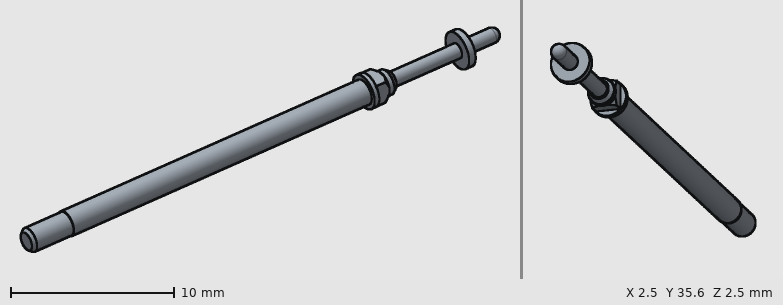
import cadquery as cq

PIN_LENGTH = 35.6
PLATE_START = 2.6
PLATE_THICKNESS = 0.5
SLEEVE_START = 8.1
SQUARE_START = 8.8
COLLAR_START = 9.8
COLLAR_THICKNESS = 0.35
TAIL_START = 32.6

PLUNGER_DIAMETER = 1.0
PLATE_DIAMETER = 2.5
SLEEVE_DIAMETER = 1.68
SQUARE_SIDE = 1.6
COLLAR_DIAMETER = 2.3
TAIL_DIAMETER = 1.6
SLEEVE_CHAMFER_LENGTH = 0.33
SLEEVE_CHAMFER_DEPTH = 0.23
TAIL_CHAMFER_LENGTH = 0.25
TAIL_CHAMFER_DEPTH = 0.2

TIP_Y = PIN_LENGTH / 2


def section_plane(start):
    """Plane across the pin at a distance behind the tip, facing the tail."""
    return cq.Workplane("XZ", origin=(0, TIP_Y - start, 0))


def cylinder(start, end, diameter):
    """Round length of the pin between two stations."""
    return section_plane(start).circle(diameter / 2).extrude(end - start)


def cone(start, end, start_diameter, end_diameter):
    """Truncated cone between two stations along the pin."""
    length = end - start
    start_circle = section_plane(start).circle(start_diameter / 2)
    return start_circle.workplane(offset=length).circle(end_diameter / 2).loft(ruled=True)


def plunger():
    """Thin rod with a hemispherical tip."""
    radius = PLUNGER_DIAMETER / 2
    tip = cq.Workplane("XY").sphere(radius).translate((0, TIP_Y - radius, 0))
    return cylinder(radius, SLEEVE_START, PLUNGER_DIAMETER).union(tip)


def plate():
    """Round contact plate on the plunger."""
    return cylinder(PLATE_START, PLATE_START + PLATE_THICKNESS, PLATE_DIAMETER)


def sleeve_mouth():
    """Front of the sleeve, chamfered around the plunger."""
    chamfer_end = SLEEVE_START + SLEEVE_CHAMFER_LENGTH
    mouth_diameter = SLEEVE_DIAMETER - 2 * SLEEVE_CHAMFER_DEPTH
    mouth = cone(SLEEVE_START, chamfer_end, mouth_diameter, SLEEVE_DIAMETER)
    return mouth.union(cylinder(chamfer_end, SQUARE_START, SLEEVE_DIAMETER))


def square_neck():
    """Square section in front of the collar, its front corners cut by a 45 degree cone."""
    length = COLLAR_START - SQUARE_START
    square = section_plane(SQUARE_START).rect(SQUARE_SIDE, SQUARE_SIDE).extrude(length)
    lead_in = cone(SQUARE_START, COLLAR_START, SLEEVE_DIAMETER, SLEEVE_DIAMETER + 2 * length)
    return square.intersect(lead_in)


def collar():
    """Stop flange behind the square neck."""
    return cylinder(COLLAR_START, COLLAR_START + COLLAR_THICKNESS, COLLAR_DIAMETER)


def barrel():
    """Main tube from the collar to the tail."""
    return cylinder(COLLAR_START + COLLAR_THICKNESS, TAIL_START, SLEEVE_DIAMETER)


def tail():
    """Slightly thinner end of the barrel with a chamfered rim."""
    chamfer_start = PIN_LENGTH - TAIL_CHAMFER_LENGTH
    end_diameter = TAIL_DIAMETER - 2 * TAIL_CHAMFER_DEPTH
    rim = cone(chamfer_start, PIN_LENGTH, TAIL_DIAMETER, end_diameter)
    return cylinder(TAIL_START, chamfer_start, TAIL_DIAMETER).union(rim)


result = plunger()
for section in (plate(), sleeve_mouth(), square_neck(), collar(), barrel(), tail()):
    result = result.union(section)